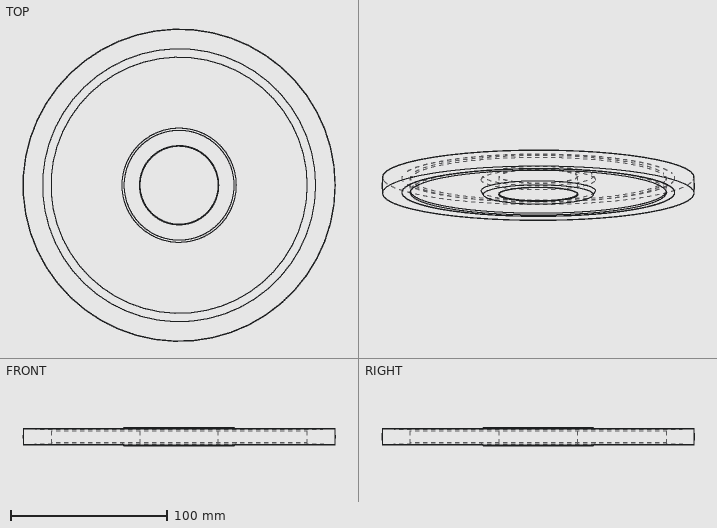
import cadquery as cq

outer_diameter = 200.0
hub_thickness = 12.0
bore_diameter = 50.0
bore_chamfer = 0.5

web_thickness = 7.2
hub_top_radius = 35.2
hub_foot_radius = 36.6

rim_inner_radius = 164.0 / 2
bead_outer_radius = 87.5
slope_change_radius = 92.2
lip_inner_radius = 97.6
rim_edge_radius = 99.8
bead_half = 4.8
slope_start_half = 4.6
slope_change_half = 4.8
lip_inner_half = 5.0
rim_half = 5.2


def mirrored_ring(upper_profile):
    """Revolve a profile that is symmetric about the XY plane around Z."""
    lower_profile = [(radius, -height) for radius, height in reversed(upper_profile) if height > 0]
    return (
        cq.Workplane("XZ")
        .polyline(upper_profile + lower_profile)
        .close()
        .revolve(360, (0, 0, 0), (0, 1, 0))
    )


def make_core():
    """Bored hub and web as one disc."""
    bore_radius = bore_diameter / 2
    hub_half = hub_thickness / 2
    web_half = web_thickness / 2
    return mirrored_ring([
        (bore_radius, hub_half - bore_chamfer),
        (bore_radius + bore_chamfer, hub_half),
        (hub_top_radius, hub_half),
        (hub_foot_radius, web_half),
        (rim_inner_radius, web_half),
    ])


def make_rim():
    """Ring around the core, with an inner bead, two gentle slopes and a narrow outer lip."""
    return mirrored_ring([
        (rim_inner_radius, bead_half),
        (bead_outer_radius, bead_half),
        (bead_outer_radius, slope_start_half),
        (slope_change_radius, slope_change_half),
        (lip_inner_radius, lip_inner_half),
        (rim_edge_radius, rim_half),
        (outer_diameter / 2, 0),
    ])


core = make_core()
rim = make_rim()
result = cq.Compound.makeCompound([core.val(), rim.val()])